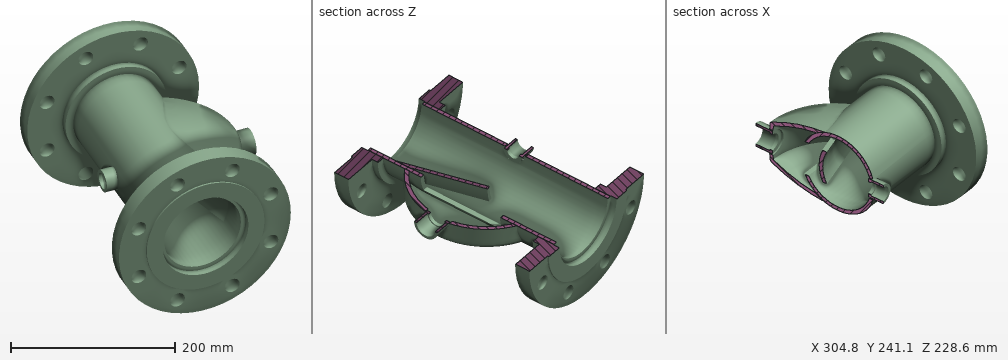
import cadquery as cq
import math

overall_length = 304.8

flange_radius = 114.3
flange_thickness = 22.0
raised_face_radius = 78.3
raised_face_height = 2.0
collar_radius = 67.5
collar_length = 9.0
bolt_count = 8
bolt_circle_radius = 95.0
bolt_hole_radius = 9.8

pipe_radius = 57.0
pipe_wall = 6.0
pipe_setback = 9.0
pipe_bore_radius = pipe_radius - pipe_wall
pipe_length = overall_length - 2 * pipe_setback

dome_center_y = 4.5
dome_radius = 101.2
dome_crown_height = 54.0
dome_cap_radius = 219.5
dome_edge_fillet = 6.5
dome_wall = 6.0

opening_length = 122.0

baffle_width = 48.8
baffle_angle = 15.0
baffle_tip_x = -15.2
baffle_tip_y = 19.0
baffle_length = 152.5

socket_wall = 4.0
socket_ledge_width = 1.8
socket_ledge_height = 4.5
vent_radius = 17.7
vent_inner_y = 100.5
vent_outer_y = 126.8
vent_hole_radius = 18.3
drain_radius = 14.3
drain_inner_y = -47.2
drain_outer_y = -70.7
drain_hole_radius = 15.2


def cylinder_x(radius, start, length):
    """Cylinder along +X from the plane x = start."""
    return cq.Workplane("YZ", origin=(start, 0, 0)).circle(radius).extrude(length)


def cylinder_y(radius, start, end):
    """Cylinder along Y between y = start and y = end."""
    return cq.Workplane("XZ", origin=(0, start, 0)).circle(radius).extrude(start - end)


pipe_rod = cylinder_x(pipe_radius, -pipe_length / 2, pipe_length)
pipe_bore = cylinder_x(pipe_bore_radius, -pipe_length / 2, pipe_length)


def make_flange():
    """Flange at the -X end: raised face, bolted disc and collar on the pipe."""
    outer_face = -overall_length / 2
    disc_face = outer_face + raised_face_height
    disc_back = disc_face + flange_thickness
    collar_end = disc_back + collar_length
    bolt_holes = (
        cq.Workplane("YZ", origin=(disc_face, 0, 0))
        .polarArray(bolt_circle_radius, 180 / bolt_count, 360, bolt_count)
        .circle(bolt_hole_radius)
        .extrude(flange_thickness)
    )
    return (
        cylinder_x(raised_face_radius, outer_face, raised_face_height)
        .union(cylinder_x(flange_radius, disc_face, flange_thickness))
        .union(cylinder_x(collar_radius, disc_back, collar_length))
        .cut(cylinder_x(pipe_radius, outer_face, collar_end - outer_face))
        .cut(bolt_holes)
    )


def lens(inset):
    """Solid lens with domed caps, its surface set inwards by the given amount, kept for y > 0."""
    radius = dome_radius - inset
    cap_radius = dome_cap_radius - inset
    crown = dome_crown_height - inset
    rim = crown - cap_radius + math.sqrt(cap_radius**2 - radius**2)
    middle = crown - cap_radius + math.sqrt(cap_radius**2 - (radius / 2) ** 2)
    body = (
        cq.Workplane("XZ")
        .moveTo(0, -crown)
        .threePointArc((radius / 2, -middle), (radius, -rim))
        .lineTo(radius, rim)
        .threePointArc((radius / 2, middle), (0, crown))
        .close()
        .revolve(360, (0, 0, 0), (0, 1, 0))
    )
    if inset < dome_edge_fillet:
        body = body.edges("%CIRCLE").fillet(dome_edge_fillet - inset)
    pipe_side = cq.Workplane("XY").box(4 * radius, 2 * radius, 4 * crown).translate((0, -radius, 0))
    return body.translate((0, dome_center_y, 0)).cut(pipe_side)


def make_pipe():
    """Pipe, open into the dome and drilled for the drain socket."""
    opening = (
        cq.Workplane("XY")
        .box(opening_length, pipe_radius, baffle_width)
        .translate((0, pipe_radius / 2, 0))
    )
    return (
        pipe_rod.cut(pipe_bore)
        .cut(opening)
        .cut(cylinder_y(drain_hole_radius, drain_outer_y, 0))
    )


def make_dome():
    """Hollow dome on the outside of the pipe, drilled for the vent socket."""
    return (
        lens(0)
        .cut(lens(dome_wall))
        .cut(pipe_rod)
        .cut(cylinder_y(vent_hole_radius, 0, vent_outer_y))
    )


def make_baffle():
    """Strip of a tube with the pipe's section, tilted about its tip and trimmed to the bore."""
    width_limit = (
        cq.Workplane("XY")
        .box(2 * baffle_length, 2 * pipe_radius, baffle_width)
        .translate((0, pipe_radius, 0))
    )
    strip = (
        cylinder_x(pipe_radius, 0, baffle_length)
        .cut(cylinder_x(pipe_bore_radius, 0, baffle_length))
        .intersect(width_limit)
    )
    return (
        strip.translate((0, -pipe_bore_radius, 0))
        .rotate((0, 0, 0), (0, 0, 1), baffle_angle)
        .translate((baffle_tip_x, baffle_tip_y, 0))
        .intersect(pipe_bore)
    )


def make_socket(radius, inner_y, outer_y):
    """Round socket along Y whose bore narrows to a ledge at its inner end."""
    bore_radius = radius - socket_wall
    ledge_radius = bore_radius - socket_ledge_width
    ledge_y = inner_y + math.copysign(socket_ledge_height, outer_y - inner_y)
    return (
        cylinder_y(radius, inner_y, outer_y)
        .cut(cylinder_y(bore_radius, ledge_y, outer_y))
        .cut(cylinder_y(ledge_radius, inner_y, outer_y))
    )


pipe = make_pipe()
left_flange = make_flange()
right_flange = left_flange.mirror("YZ")
dome = make_dome()
baffle = make_baffle()
vent = make_socket(vent_radius, vent_inner_y, vent_outer_y)
drain = make_socket(drain_radius, drain_inner_y, drain_outer_y)

bodies = [pipe, left_flange, right_flange, dome, baffle, vent, drain]
result = cq.Compound.makeCompound([body.solids().val() for body in bodies])